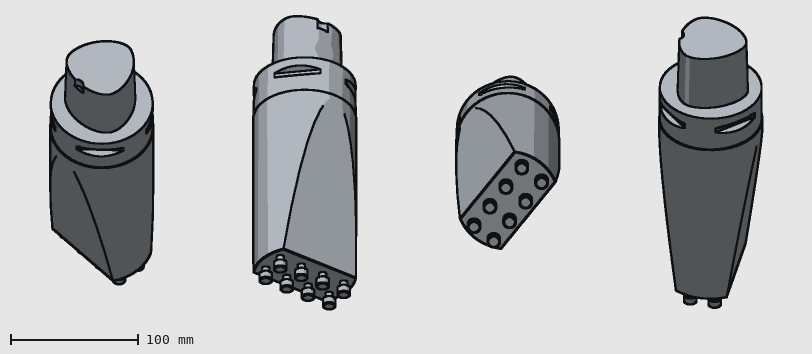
import cadquery as cq
import math

total_height = 239.0
shoulder_z = 191.2
body_top_z = 160.5
body_bottom_z = 12.0

body_diameter = 81.0
body_edge_chamfer = 0.5
flat_start_z = 156.3
flat_bottom_offset = 20.3

flange_diameter = 80.0
slot_center_z = 179.2
slot_floor_offset = 35.5
slot_floor_height = 3.5
slot_mouth_height = 8.8
slot_angles = (45, 135, 225, 315)

shank_base_width = 55.2
shank_top_width = 52.8
lobe_eccentricity = 1.98
shank_arc_count = 6
points_per_arc = 8

keyway_radius = 6.0
keyway_center_y = -27.7
keyway_depth = 8.1

screw_x_offsets = (10.3, 30.5)
screw_y_offset = 9.8
screw_shank_diameter = 6.0
screw_head_diameter = 10.0
screw_head_height = 6.5
screw_head_chamfer = 0.7


def make_body():
    """Cylinder cut by two sloping planes, with its end edges broken."""
    radius = body_diameter / 2
    height = body_top_z - body_bottom_z
    cylinder = cq.Workplane("XY").workplane(offset=body_bottom_z).circle(radius).extrude(height)
    cylinder = cylinder.faces("<Z or >Z").edges().chamfer(body_edge_chamfer)
    flat_slope = (radius - flat_bottom_offset) / (flat_start_z - body_bottom_z)
    profile_top_offset = flat_bottom_offset + flat_slope * height
    chamfer_top_z = body_bottom_z + body_edge_chamfer
    chamfer_top_offset = flat_bottom_offset + flat_slope * body_edge_chamfer
    side_profile = (
        cq.Workplane("YZ")
        .moveTo(body_edge_chamfer - flat_bottom_offset, body_bottom_z)
        .lineTo(flat_bottom_offset - body_edge_chamfer, body_bottom_z)
        .lineTo(chamfer_top_offset, chamfer_top_z)
        .lineTo(profile_top_offset, body_top_z)
        .lineTo(-profile_top_offset, body_top_z)
        .lineTo(-chamfer_top_offset, chamfer_top_z)
        .close()
        .extrude(radius, both=True)
    )
    return cylinder.intersect(side_profile)


def make_slot_cutter(angle):
    """Flat-floored slot with sloping walls that open outward, turned about Z."""
    floor_half = slot_floor_height / 2
    mouth_half = slot_mouth_height / 2
    flange_radius = flange_diameter / 2
    cutter_half = 2 * mouth_half - floor_half
    cutter_reach = 2 * flange_radius - slot_floor_offset
    cutter = (
        cq.Workplane("XZ")
        .moveTo(slot_floor_offset, slot_center_z - floor_half)
        .lineTo(cutter_reach, slot_center_z - cutter_half)
        .lineTo(cutter_reach, slot_center_z + cutter_half)
        .lineTo(slot_floor_offset, slot_center_z + floor_half)
        .close()
        .extrude(flange_radius, both=True)
    )
    return cutter.rotate((0, 0, 0), (0, 0, 1), angle)


def make_flange():
    height = shoulder_z - body_top_z
    flange = cq.Workplane("XY").workplane(offset=body_top_z).circle(flange_diameter / 2).extrude(height)
    for angle in slot_angles:
        flange = flange.cut(make_slot_cutter(angle))
    return flange


def lobed_point(width, z, angle):
    """Point on a three-lobed curve of constant width, where its normal is at angle from +Y."""
    support = width / 2 + lobe_eccentricity * math.cos(3 * angle)
    slope = -3 * lobe_eccentricity * math.sin(3 * angle)
    along_lobe = support * math.cos(angle) - slope * math.sin(angle)
    across_lobe = support * math.sin(angle) + slope * math.cos(angle)
    return cq.Vector(-across_lobe, along_lobe, z)


def lobed_wire(width, z):
    """Closed curve of three lobes and three flatter sides, each one spline, with a lobe toward +Y."""
    arc_angle = 2 * math.pi / shank_arc_count
    arcs = []
    for arc in range(shank_arc_count):
        points = []
        for step in range(points_per_arc + 1):
            angle = arc_angle * (arc - 0.5 + step / points_per_arc)
            points.append(lobed_point(width, z, angle))
        arcs.append(cq.Edge.makeSpline(points))
    return cq.Wire.assembleEdges(arcs)


def make_shank():
    base = lobed_wire(shank_base_width, shoulder_z)
    top = lobed_wire(shank_top_width, total_height)
    shank = cq.Workplane("XY").add(cq.Solid.makeLoft([base, top], True))
    keyway = (
        cq.Workplane("XY")
        .workplane(offset=total_height)
        .center(0, keyway_center_y)
        .circle(keyway_radius)
        .extrude(-keyway_depth)
    )
    return shank.cut(keyway)


def make_screws():
    positions = []
    for x_offset in screw_x_offsets:
        for x_side in (-1, 1):
            for y_side in (-1, 1):
                positions.append((x_side * x_offset, y_side * screw_y_offset))
    heads = cq.Workplane("XY").pushPoints(positions).circle(screw_head_diameter / 2).extrude(screw_head_height)
    heads = heads.faces("<Z").edges().chamfer(screw_head_chamfer)
    shanks = cq.Workplane("XY").pushPoints(positions).circle(screw_shank_diameter / 2).extrude(body_bottom_z)
    return heads.union(shanks)


result = make_body().union(make_flange()).union(make_shank()).union(make_screws())